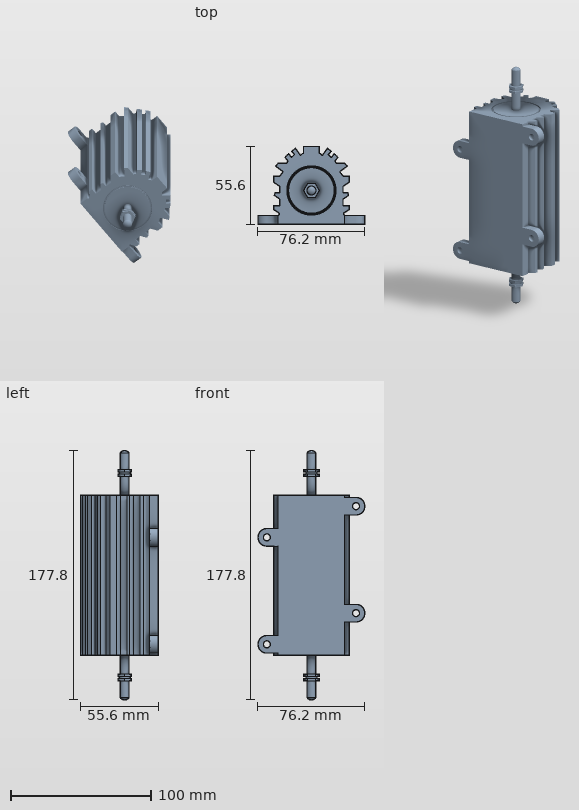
import cadquery as cq
TOTAL_LENGTH = 177.8
BODY_LENGTH = 114.3
BODY_TOP = 31.5
BASE_FACE = BODY_TOP - 55.58
TOP_RIB_HALF_WIDTH = 5.7
SIDE_FIN_HALF_WIDTH = 27.0
SIDE_WALL_HALF_WIDTH = 22.6
BASE_HALF_WIDTH = 23.7

EAR_SPAN = 76.2
EAR_RADIUS = 6.35
EAR_THICKNESS = 6.35
EAR_HOLE_DIAMETER = 4.8
EAR_X = EAR_SPAN / 2 - EAR_RADIUS
EAR_PITCH = 76.2
EAR_OFFSET = 11.1

GROOVE_OUTER_RADIUS = 17.55
GROOVE_STEP_RADIUS = 16.9
GROOVE_INNER_RADIUS = 16.25
GROOVE_DEPTH = 0.8
GROOVE_STEP_DEPTH = 0.4

SHAFT_RADIUS = 3.175
DOME_HEIGHT = 1.75
NUT_ACROSS_CORNERS = 11.2
NUT_THICKNESS = 1.6
WASHER_RADIUS = 4.0
WASHER_THICKNESS = 1.6
NUT_START = 70.5

BASE_GROOVE_ROOT = (21.9, -16.8)
BASE_GROOVE_RADIUS = 1.0

FIN_POINTS = [
    (TOP_RIB_HALF_WIDTH, BODY_TOP),
    (TOP_RIB_HALF_WIDTH, 26.5),
    (6.3, 26.5),
    (7.7, 25.0),
    (11.4, 30.1),
    (14.2, 27.9),
    (12.1, 25.6),
    (14.2, 23.5),
    (16.2, 26.3),
    (18.9, 23.6),
    (16.8, 21.0),
    (17.7, 19.4),
    (23.7, 19.4),
    (25.6, 17.35),
    (20.2, 13.35),
    (SIDE_WALL_HALF_WIDTH, 10.3),
    (SIDE_FIN_HALF_WIDTH, 10.3),
    (SIDE_FIN_HALF_WIDTH, 5.9),
    (SIDE_WALL_HALF_WIDTH, 2.9),
    (SIDE_WALL_HALF_WIDTH, -1.6),
    (25.95, -1.6),
    (26.5, -3.5),
    (SIDE_WALL_HALF_WIDTH, -6.2),
    (SIDE_WALL_HALF_WIDTH, -10.8),
    (SIDE_FIN_HALF_WIDTH, -10.8),
    (SIDE_FIN_HALF_WIDTH, -13.6),
    BASE_GROOVE_ROOT,
    (BASE_HALF_WIDTH, BASE_FACE + EAR_THICKNESS),
    (BASE_HALF_WIDTH, BASE_FACE),
]


def round_groove_roots(body):
    """Fillet the lengthwise edge at the root of the base groove on both sides."""
    x, y = BASE_GROOVE_ROOT
    for root_x in (x, -x):
        lengthwise_edges = body.edges("|Z")
        body = lengthwise_edges.edges(cq.NearestToPointSelector((root_x, y, 0))).fillet(BASE_GROOVE_RADIUS)
    return body


def finned_body():
    """Extruded section, symmetric about the YZ plane."""
    left_points = [(-x, y) for x, y in reversed(FIN_POINTS)]
    section = cq.Workplane("XY").polyline(FIN_POINTS + left_points).close()
    body = section.extrude(BODY_LENGTH).translate((0, 0, -BODY_LENGTH / 2))
    return round_groove_roots(body)


def ear(side, z):
    """Round-ended ear with a through hole; side is +1 for +X and -1 for -X."""
    root_x = side * BASE_HALF_WIDTH
    end_x = side * EAR_X
    outline = (
        cq.Workplane("XZ", origin=(0, BASE_FACE, z))
        .moveTo(root_x, EAR_RADIUS)
        .lineTo(end_x, EAR_RADIUS)
        .threePointArc((side * EAR_SPAN / 2, 0), (end_x, -EAR_RADIUS))
        .lineTo(root_x, -EAR_RADIUS)
        .close()
    )
    hole = cq.Workplane("XZ", origin=(end_x, BASE_FACE, z)).circle(EAR_HOLE_DIAMETER / 2)
    return outline.extrude(-EAR_THICKNESS).cut(hole.extrude(-EAR_THICKNESS))


def end_groove():
    """Stepped ring cut around the cap on the +Z end."""
    end_plane = cq.Workplane("XY", origin=(0, 0, BODY_LENGTH / 2))
    deep_ring = end_plane.circle(GROOVE_OUTER_RADIUS).circle(GROOVE_STEP_RADIUS).extrude(-GROOVE_DEPTH)
    step_ring = end_plane.circle(GROOVE_STEP_RADIUS).circle(GROOVE_INNER_RADIUS).extrude(-GROOVE_STEP_DEPTH)
    return deep_ring.union(step_ring)


def terminal():
    """Dome-tipped shaft on the +Z end with two thin hex nuts and a washer between them."""
    tip = TOTAL_LENGTH / 2
    dome_start = tip - DOME_HEIGHT
    shaft_start = BODY_LENGTH / 2
    shaft_length = dome_start - shaft_start
    shaft = cq.Workplane("XY", origin=(0, 0, shaft_start)).circle(SHAFT_RADIUS).extrude(shaft_length)

    dome_radius = (SHAFT_RADIUS**2 + DOME_HEIGHT**2) / (2 * DOME_HEIGHT)
    dome_centre = cq.Workplane("XY", origin=(0, 0, tip - dome_radius))
    cap_blank = cq.Workplane("XY", origin=(0, 0, dome_start)).circle(SHAFT_RADIUS).extrude(DOME_HEIGHT)
    dome = cap_blank.intersect(dome_centre.sphere(dome_radius))

    washer_start = NUT_START + NUT_THICKNESS
    outer_nut_start = washer_start + WASHER_THICKNESS
    washer = cq.Workplane("XY", origin=(0, 0, washer_start)).circle(WASHER_RADIUS).extrude(WASHER_THICKNESS)
    solid = shaft.union(dome).union(washer)
    for nut_z in (NUT_START, outer_nut_start):
        nut = cq.Workplane("XY", origin=(0, 0, nut_z)).polygon(6, NUT_ACROSS_CORNERS)
        solid = solid.union(nut.extrude(NUT_THICKNESS))
    return solid


def at_both_ends(shape):
    """The shape together with its mirror image across Z = 0."""
    return [shape, shape.mirror("XY")]


result = finned_body()
for side in (1, -1):
    for half_pitch in (EAR_PITCH / 2, -EAR_PITCH / 2):
        result = result.union(ear(side, half_pitch + side * EAR_OFFSET))
for groove in at_both_ends(end_groove()):
    result = result.cut(groove)
for shaft_end in at_both_ends(terminal()):
    result = result.union(shaft_end)